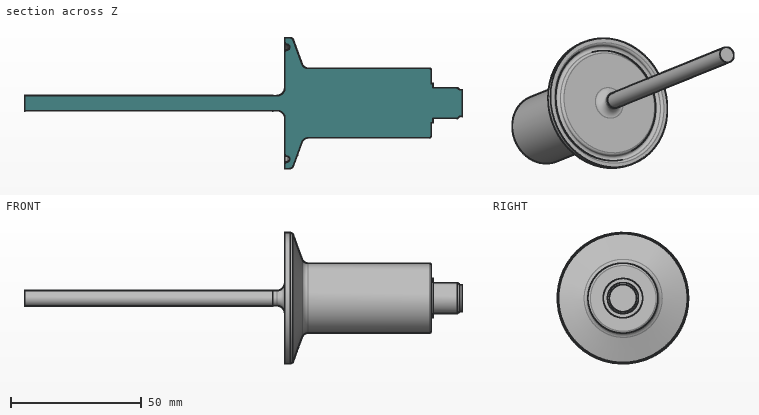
import cadquery as cq
import math

total_length = 168.2
tip_x = -total_length / 2
end_x = total_length / 2

rod_radius = 6.0 / 2
neck_radius = 5.9 / 2
neck_length = 1.5
flare_outer_radius = 12.0 / 2
flare_radius = flare_outer_radius - neck_radius

face_x = tip_x + 100.0
flange_radius = 50.5 / 2
rim_width = 2.2
rim_taper_length = 1.0
rim_back_radius = 24.7
cone_angle = math.radians(70)

groove_radius = 21.5
groove_half_width = 2.0
groove_bottom_radius = 1.0
groove_depth = 1.9

housing_radius = 27.0 / 2
housing_fillet = 2.4
housing_end_x = face_x + 56.4
housing_edge_fillet = 0.8

collar_radius = 7.5
collar_length = 0.7
connector_radius = 12.0 / 2
nose_radius = 10.5 / 2
nose_length = 1.0
nose_taper_length = 1.0


def tangent_arc(profile, center_x, center_r, radius, start_angle, end_angle):
    """Continue the profile with an arc between two angles about a center."""
    middle_angle = (start_angle + end_angle) / 2
    middle, end = [
        (center_x + radius * math.cos(angle), center_r + radius * math.sin(angle))
        for angle in (middle_angle, end_angle)
    ]
    return profile.threePointArc(middle, end)


def make_turned_body():
    neck_end_x = face_x - flare_radius
    taper_start_x = face_x + rim_width
    cone_start_x = taper_start_x + rim_taper_length
    normal_angle = math.pi / 2 - cone_angle
    housing_center_r = housing_radius + housing_fillet
    cone_end_r = housing_center_r - housing_fillet * math.sin(normal_angle)
    cone_end_x = cone_start_x + (rim_back_radius - cone_end_r) / math.tan(cone_angle)
    housing_center_x = cone_end_x + housing_fillet * math.cos(normal_angle)
    nose_x = end_x - nose_length

    profile = (
        cq.Workplane("XY")
        .moveTo(tip_x, 0)
        .lineTo(tip_x, rod_radius)
        .lineTo(neck_end_x - neck_length, rod_radius)
        .lineTo(neck_end_x - neck_length, neck_radius)
        .lineTo(neck_end_x, neck_radius)
    )
    profile = tangent_arc(
        profile, neck_end_x, flare_outer_radius, flare_radius, -math.pi / 2, 0
    )
    profile = (
        profile.lineTo(face_x, flange_radius)
        .lineTo(taper_start_x, flange_radius)
        .lineTo(cone_start_x, rim_back_radius)
        .lineTo(cone_end_x, cone_end_r)
    )
    profile = tangent_arc(
        profile, housing_center_x, housing_center_r, housing_fillet,
        math.pi + normal_angle, 3 * math.pi / 2,
    )
    profile = profile.lineTo(housing_end_x - housing_edge_fillet, housing_radius)
    profile = tangent_arc(
        profile, housing_end_x - housing_edge_fillet, housing_radius - housing_edge_fillet,
        housing_edge_fillet, math.pi / 2, 0,
    )
    profile = (
        profile.lineTo(housing_end_x, collar_radius)
        .lineTo(housing_end_x + collar_length, collar_radius)
        .lineTo(housing_end_x + collar_length, connector_radius)
        .lineTo(nose_x - nose_taper_length, connector_radius)
        .lineTo(nose_x, nose_radius)
        .lineTo(end_x, nose_radius)
        .lineTo(end_x, 0)
        .close()
    )
    return profile.revolve(360, (0, 0, 0), (1, 0, 0))


def make_gasket_groove():
    lip_radius = groove_half_width - groove_bottom_radius
    outer_r = groove_radius + groove_half_width
    inner_r = groove_radius - groove_half_width
    lip_x = face_x + lip_radius

    profile = cq.Workplane("XY").moveTo(face_x, outer_r)
    profile = tangent_arc(profile, lip_x, outer_r, lip_radius, math.pi, 3 * math.pi / 2)
    profile = profile.threePointArc(
        (face_x + groove_depth, groove_radius), (lip_x, groove_radius - groove_bottom_radius)
    )
    profile = tangent_arc(profile, lip_x, inner_r, lip_radius, math.pi / 2, math.pi)
    return profile.close().revolve(360, (0, 0, 0), (1, 0, 0))


result = make_turned_body().cut(make_gasket_groove())